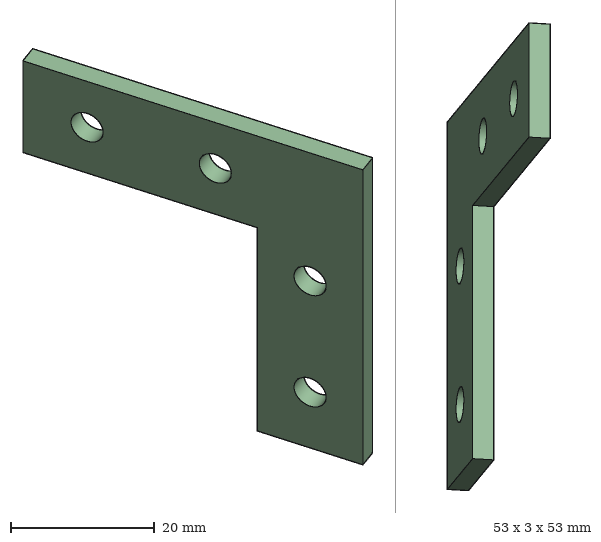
import cadquery as cq

arm_length = 53.0
arm_width = 16.5
thickness = 3.0

hole_diameter = 5.0
hole_end_distance = 10.0
hole_pitch = 20.0
holes_per_arm = 2

half_length = arm_length / 2
half_width = arm_width / 2


def arm(length_x, length_z):
    """Rectangular arm whose outer corner is the bracket's +X, +Z corner."""
    return cq.Workplane("XY").box(length_x, thickness, length_z).translate(
        (half_length - length_x / 2, 0, half_length - length_z / 2)
    )


def hole_cutters():
    """Through-hole cylinders on the centre line of both arms."""
    arm_axis = half_length - half_width
    centers = []
    for index in range(holes_per_arm):
        along = -half_length + hole_end_distance + index * hole_pitch
        centers.append((along, arm_axis))
        centers.append((arm_axis, along))
    return (
        cq.Workplane("XZ", origin=(0, thickness / 2, 0))
        .pushPoints(centers)
        .circle(hole_diameter / 2)
        .extrude(thickness)
    )


plate = arm(arm_length, arm_width).union(arm(arm_width, arm_length)).clean()
result = plate.cut(hole_cutters())